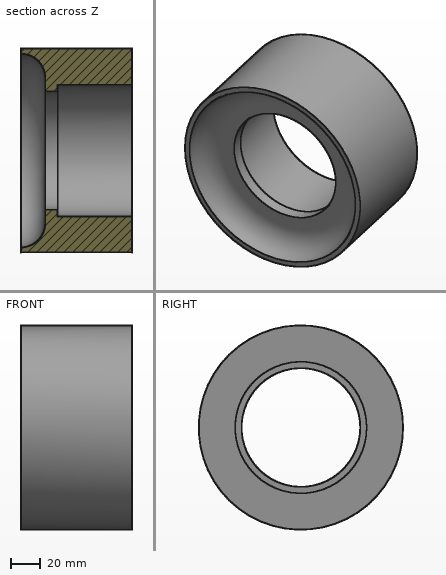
import cadquery as cq
import math

length = 76.0
outer_diameter = 140.0
bore_diameter = 81.0
mouth_diameter = 132.5
floor_diameter = 99.4
lip_length = 8.5
rear_bore_diameter = 90.0

outer_radius = outer_diameter / 2
bore_radius = bore_diameter / 2
rear_bore_radius = rear_bore_diameter / 2
mouth_radius = mouth_diameter / 2
floor_radius = floor_diameter / 2

dish_depth = mouth_radius - floor_radius
diagonal = math.sqrt(0.5)
arc_middle = (dish_depth * diagonal, floor_radius + dish_depth * diagonal)

lip_end = dish_depth + lip_length

half_section = (
    cq.Workplane("XY")
    .moveTo(dish_depth, bore_radius)
    .lineTo(dish_depth, floor_radius)
    .threePointArc(arc_middle, (0, mouth_radius))
    .lineTo(0, outer_radius)
    .lineTo(length, outer_radius)
    .lineTo(length, rear_bore_radius)
    .lineTo(lip_end, rear_bore_radius)
    .lineTo(lip_end, bore_radius)
    .close()
)

result = half_section.revolve(360, (0, 0, 0), (1, 0, 0))